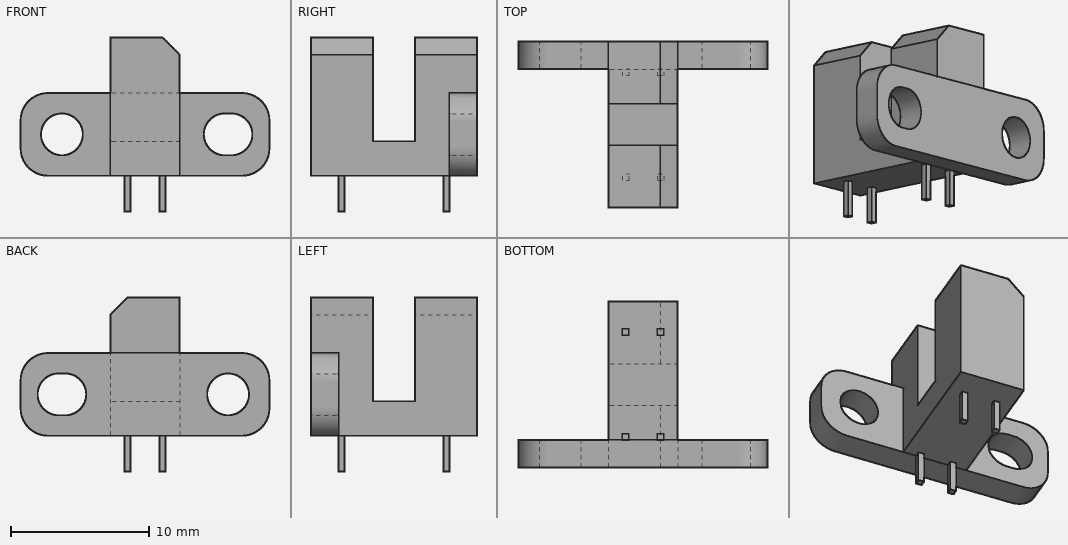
import cadquery as cq


housing_width = 5.0
housing_depth = 12.0
housing_height = 10.0
gap_width = 3.0
gap_floor_height = 2.5
chamfer_size = 1.25

plate_length = 18.0
plate_thickness = 2.0
plate_height = 6.0
plate_corner_radius = 2.0
hole_diameter = 3.0
hole_spacing = 12.0
slot_length = 3.5

pin_width = 0.45
pin_length = 2.6
pin_pitch_x = 2.54
pin_pitch_y = 7.6

back_y = housing_depth / 2
plate_y = back_y - plate_thickness / 2


def base_box(length, depth, height):
    """Box centred in X and Y that stands on Z = 0."""
    return cq.Workplane("XY").box(length, depth, height, centered=(True, True, False))


def make_housing():
    """U-shaped block with a sensing gap and a recess for the mounting plate."""
    block = base_box(housing_width, housing_depth, housing_height)
    block = block.faces(">Z").edges(">X").chamfer(chamfer_size)

    gap = base_box(housing_width, gap_width, housing_height).translate((0, 0, gap_floor_height))
    plate_recess = base_box(housing_width, plate_thickness, plate_height).translate((0, plate_y, 0))
    return block.cut(gap).cut(plate_recess)


def plate_back(x):
    """Workplane on the back of the centred plate, at half its height; extrusions run toward -Y."""
    return cq.Workplane("XZ", origin=(x, plate_thickness / 2, plate_height / 2))


def make_mounting_plate():
    """Rounded plate with a round hole on the left and a slot on the right."""
    plate = base_box(plate_length, plate_thickness, plate_height)
    plate = plate.edges("|Y").fillet(plate_corner_radius)

    round_hole = plate_back(-hole_spacing / 2).circle(hole_diameter / 2).extrude(plate_thickness)
    slot = plate_back(hole_spacing / 2).slot2D(slot_length, hole_diameter).extrude(plate_thickness)
    plate = plate.cut(round_hole).cut(slot)
    return plate.translate((0, plate_y, 0))


def make_pin(x, y):
    """Square pin hanging from the underside of the housing."""
    return base_box(pin_width, pin_width, pin_length).translate((x, y, -pin_length))


housing = make_housing()
mounting_plate = make_mounting_plate()
pins = [
    make_pin(side_x * pin_pitch_x / 2, side_y * pin_pitch_y / 2)
    for side_x in (-1, 1)
    for side_y in (-1, 1)
]

result = cq.Compound.makeCompound(
    [housing.val(), mounting_plate.val(), *[pin.val() for pin in pins]]
)